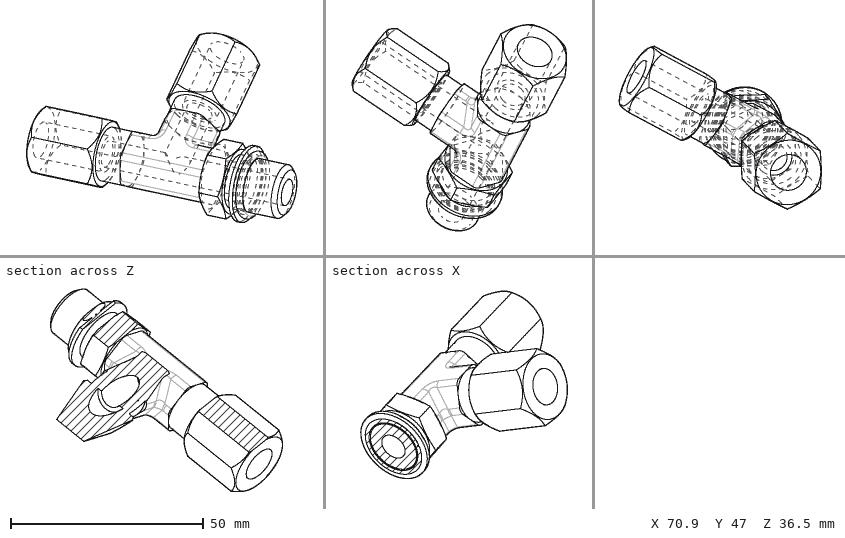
import cadquery as cq
import math

branch_tilt = 30.0
run_nut_end = 38.03
branch_nut_end = 37.64
thread_end = 32.9

body_flats = 14.3
body_half_length = 11.75
body_branch_length = 13.5
body_fillet = 2.0

nut_flats = 17.5
nut_length = 19.1
nut_face_diameter = 17.15
nut_chamfer_angle = 45.0

locknut_length = 6.5
locknut_chamfer_angle = 19.0
locknut_turn = 30.0

neck_diameter = body_flats
stud_chamfer = 1.2
washer_diameter = 20.32
washer_start = 20.95
washer_thickness = 1.05
ring_section_diameter = 1.95
ring_outer_diameter = 18.0

bore_diameter = 7.0
tube_diameter = 9.5
tube_depth = nut_length


def across_corners(flats):
    return flats / math.cos(math.pi / 6)


def cylinder_x(start, end, diameter):
    return cq.Workplane("YZ", origin=(start, 0, 0)).circle(diameter / 2).extrude(end - start)


def hexagon_x(start, end, flats):
    """Hexagonal bar along X with two of its corners on the XY plane."""
    profile = cq.Workplane("YZ", origin=(start, 0, 0)).polygon(6, across_corners(flats))
    return profile.extrude(end - start)


def chamfered_hexagon(start, end, flats, face_diameter, chamfer_angle):
    """Hexagonal bar along X with conical chamfers on the corners of both ends."""
    face_radius = face_diameter / 2
    corner_radius = across_corners(flats) / 2
    depth = (corner_radius - face_radius) * math.tan(math.radians(chamfer_angle))
    envelope = (
        cq.Workplane("XY")
        .moveTo(start, 0)
        .lineTo(start, face_radius)
        .lineTo(start + depth, corner_radius)
        .lineTo(end - depth, corner_radius)
        .lineTo(end, face_radius)
        .lineTo(end, 0)
        .close()
        .revolve(360, (0, 0, 0), (1, 0, 0))
    )
    return hexagon_x(start, end, flats).intersect(envelope)


def compression_nut(outer_end):
    return chamfered_hexagon(
        outer_end - nut_length, outer_end, nut_flats, nut_face_diameter, nut_chamfer_angle
    )


def to_branch(shape):
    """Turn a shape built along +X onto the branch, along +Y."""
    return shape.rotate((0, 0, 0), (0, 0, 1), 90)


def to_run_nut(shape):
    """Turn a shape built along +X onto the nut end of the run, along -X."""
    return shape.rotate((0, 0, 0), (0, 0, 1), 180)


def tee_body():
    run = hexagon_x(-body_half_length, body_half_length, body_flats)
    branch = to_branch(hexagon_x(0, body_branch_length, body_flats))
    body = run.union(branch)
    branch_roots = body.edges("not(<X or >X or >Y or |X or |Y)")
    body = branch_roots.fillet(body_fillet)
    bar_edges = body.edges("(|X or |Y) and (not(<X or >X or >Y))")
    return bar_edges.fillet(body_fillet)


def locknut():
    nut = chamfered_hexagon(
        body_half_length,
        body_half_length + locknut_length,
        nut_flats,
        nut_face_diameter,
        locknut_chamfer_angle,
    )
    return nut.rotate((0, 0, 0), (1, 0, 0), locknut_turn)


def stud():
    shank = cylinder_x(0, thread_end, neck_diameter).faces(">X").chamfer(stud_chamfer)
    washer_end = washer_start + washer_thickness
    washer = cylinder_x(washer_start, washer_end, washer_diameter)
    ring_radius = (ring_outer_diameter - ring_section_diameter) / 2
    ring_centre = washer_end + ring_section_diameter / 2
    ring = (
        cq.Workplane("XY")
        .center(ring_centre, ring_radius)
        .circle(ring_section_diameter / 2)
        .revolve(360, (0, -ring_radius, 0), (1, -ring_radius, 0))
    )
    return shank.union(washer).union(ring)


def nut_arm(nut_end):
    """Neck and compression nut along +X."""
    neck = cylinder_x(0, nut_end - nut_length, neck_diameter)
    return neck.union(compression_nut(nut_end))


def tube_bore(nut_end):
    """Flow passage and tube socket of one nut arm, along +X."""
    passage = cylinder_x(0, nut_end, bore_diameter)
    return passage.union(cylinder_x(nut_end - tube_depth, nut_end, tube_diameter))


fitting = (
    tee_body()
    .union(to_run_nut(nut_arm(run_nut_end)))
    .union(to_branch(nut_arm(branch_nut_end)))
    .union(locknut())
    .union(stud())
    .cut(cylinder_x(0, thread_end, bore_diameter))
    .cut(to_run_nut(tube_bore(run_nut_end)))
    .cut(to_branch(tube_bore(branch_nut_end)))
)

result = fitting.rotate((0, 0, 0), (1, 0, 0), branch_tilt)